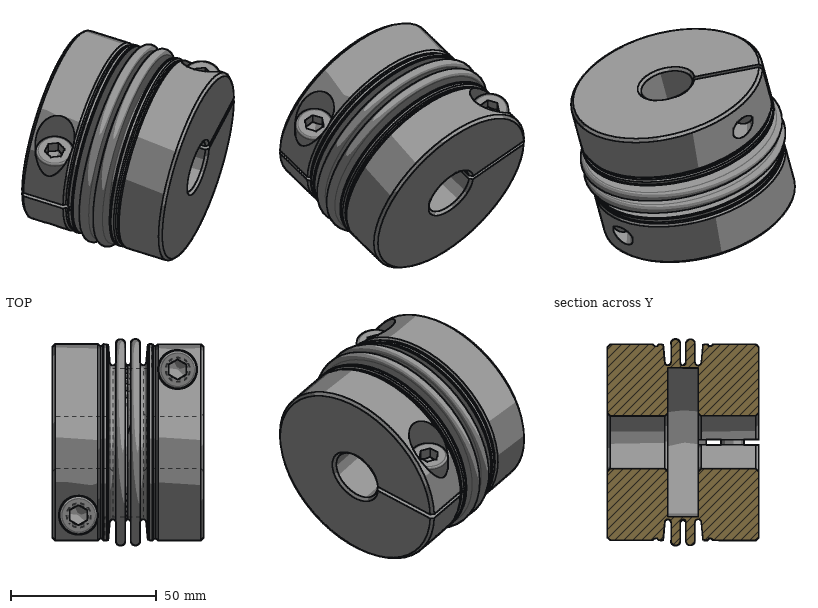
import math

import cadquery as cq

length = 52.0
hub_radius = 67.5 / 2
bore_radius = 18.0 / 2
edge_chamfer = 1.0

crest_radius = 71.0 / 2
root_radius = 26.5
fin_pitch = 5.1
fin_thickness = 3.3
fin_center = fin_pitch / 2
fin_arc = fin_thickness / 2
fin_inner = fin_center - fin_arc
fin_outer = fin_center + fin_arc

rim_radius = 67.1 / 2
wall_foot = 6.2
rim_start = 6.75
flange_start = 7.3
outer_valley_arc = (wall_foot - fin_outer) / 2
outer_valley_center = (wall_foot + fin_outer) / 2

bellows_wall = 1.0
cavity_radius = root_radius - bellows_wall
hub_inner_face = outer_valley_center

groove_radius = 33.1
flange_end = 8.4
groove_floor_start = 8.9
groove_floor_end = 9.6
hub_start = 10.4

slit_width = 1.8
slit_rim_end = 8.0
screw_x = 17.0
screw_y = 25.0
head_radius = 13.0 / 2
head_height = 8.0
head_top = 17.8
head_seat = head_top - head_height
head_fillet = 0.75
shank_radius = 8.0 / 2
shank_length = 25.0
socket_flats = 6.0
socket_depth = 4.0
socket_tip_angle = 118.0
counterbore_radius = 13.5 / 2
clearance_radius = 8.6 / 2
tapped_radius = 6.8 / 2


def half_body():
    """Hub and half of the bellows on the +X side, without the bore."""
    half_length = length / 2
    profile = (
        cq.Workplane("XY")
        .moveTo(0, 0)
        .lineTo(0, root_radius)
        .radiusArc((fin_inner, root_radius + fin_inner), -fin_inner)
        .lineTo(fin_inner, crest_radius - fin_arc)
        .threePointArc((fin_center, crest_radius), (fin_outer, crest_radius - fin_arc))
        .lineTo(fin_outer, root_radius + outer_valley_arc)
        .threePointArc((outer_valley_center, root_radius), (wall_foot, root_radius + outer_valley_arc))
        .lineTo(rim_start, rim_radius)
        .lineTo(flange_start, rim_radius)
        .lineTo(flange_start, hub_radius)
        .lineTo(flange_end, hub_radius)
        .lineTo(groove_floor_start, groove_radius)
        .lineTo(groove_floor_end, groove_radius)
        .lineTo(hub_start, hub_radius)
        .lineTo(half_length - edge_chamfer, hub_radius)
        .lineTo(half_length, hub_radius - edge_chamfer)
        .lineTo(half_length, 0)
        .close()
    )
    return profile.revolve(360, (0, 0, 0), (1, 0, 0))


def interior():
    """Hub bores, chamfered at both mouths, and the wider space between the hubs."""
    half_length = length / 2
    mouth_radius = bore_radius + edge_chamfer
    half_profile = (
        cq.Workplane("XY")
        .moveTo(0, 0)
        .lineTo(0, cavity_radius)
        .lineTo(hub_inner_face, cavity_radius)
        .lineTo(hub_inner_face, mouth_radius)
        .lineTo(hub_inner_face + edge_chamfer, bore_radius)
        .lineTo(half_length - edge_chamfer, bore_radius)
        .lineTo(half_length, mouth_radius)
        .lineTo(half_length, 0)
        .close()
    )
    half = half_profile.revolve(360, (0, 0, 0), (1, 0, 0))
    return half.union(turned(half))


def slit_box(start_x, reach_y):
    """Thin box from start_x to the outer hub face and from the axis to reach_y."""
    box = cq.Workplane("XY").box(
        length / 2 - start_x, reach_y, slit_width, centered=(False, False, True)
    )
    return box.translate((start_x, 0, 0))


def clamp_slit():
    """Radial slit through the +Y side of the +X hub, leaving the bellows wall uncut."""
    rim_part = slit_box(slit_rim_end, hub_radius)
    inner_part = slit_box(hub_inner_face, cavity_radius)
    return rim_part.union(inner_part)


def screw_cylinder(radius, bottom, top):
    """Cylinder on the screw axis of the +X hub."""
    return cq.Workplane("XY", origin=(screw_x, screw_y, bottom)).circle(radius).extrude(top - bottom)


def screw_hole():
    """Counterbore, clearance hole down to the slit and tapped hole below it."""
    counterbore = screw_cylinder(counterbore_radius, head_seat, hub_radius)
    clearance = screw_cylinder(clearance_radius, 0, head_seat)
    tapped = screw_cylinder(tapped_radius, -hub_radius, 0)
    return counterbore.union(clearance).union(tapped)


def hex_socket():
    """Hexagonal socket with corners along Y and a conical bottom."""
    corner_radius = socket_flats / math.sqrt(3)
    tip_depth = socket_depth + corner_radius / math.tan(math.radians(socket_tip_angle / 2))
    hexagon = (
        cq.Workplane("XY")
        .polygon(6, 2 * corner_radius)
        .extrude(-tip_depth)
        .rotate((0, 0, 0), (0, 0, 1), 90)
    )
    drill = (
        cq.Workplane("XZ")
        .moveTo(0, 0)
        .lineTo(corner_radius, 0)
        .lineTo(corner_radius, -socket_depth)
        .lineTo(0, -tip_depth)
        .close()
        .revolve(360, (0, 0, 0), (0, 1, 0))
    )
    return hexagon.intersect(drill).translate((screw_x, screw_y, head_top))


def clamp_screw():
    """Socket head cap screw seated in the counterbore."""
    head = screw_cylinder(head_radius, head_seat, head_top).faces(">Z").edges().fillet(head_fillet)
    shank = screw_cylinder(shank_radius, head_seat - shank_length, head_seat)
    return head.union(shank).cut(hex_socket())


def turned(shape):
    """Shape turned half a revolution about Z, onto the opposite hub."""
    return shape.rotate((0, 0, 0), (0, 0, 1), 180)


half = half_body()
body = half.union(turned(half)).cut(interior())

slit_and_hole = clamp_slit().union(screw_hole())
screw = clamp_screw()
body = body.cut(slit_and_hole).cut(turned(slit_and_hole))
body = body.union(screw).union(turned(screw))
result = cq.Workplane("XY").newObject([body.solids().val()])